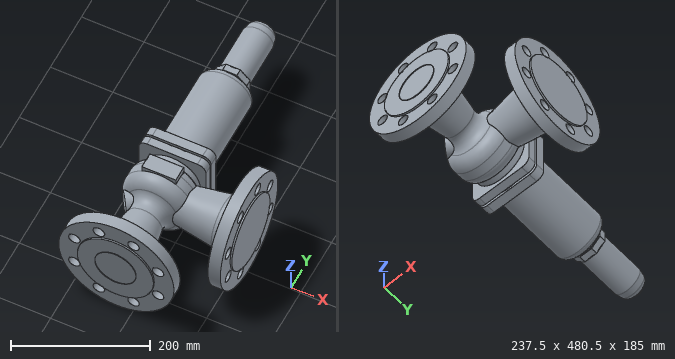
import cadquery as cq
import math


total_length = 480.5
total_width = 237.5

flange_diameter = 185.0
flange_thickness = 20.0
raised_face_diameter = 122.0
raised_face_height = 3.0
bolt_circle_diameter = 145.0
bolt_hole_diameter = 18.5
bolt_count = 8

flange_face = total_width - flange_diameter / 2
rim_front = flange_face - raised_face_height
rim_back = rim_front - flange_thickness
top_end = total_length - flange_face

inlet_cone_start = 53.5
inlet_cone_end = 103.0
inlet_start_radius = 29.5
inlet_end_radius = 38.5
outlet_cone_start = 0.0
outlet_start_radius = 25.5
outlet_cone_end = 102.0
outlet_end_radius = 41.5
flare_radius = 47.5

recess_diameter = 66.0
recess_depth = 1.0

body_radius = 56.2
barrel_top = 10.5
barrel_bottom = -5.5
shoulder_top = 28.0
collar_radius = 44.5
bowl_bottom = -27.5
bowl_bottom_radius = 41.0

plate_size = 107.5
plate_corner_radius = 13.5
lower_plate_bottom = 38.0
lower_plate_top = 51.5
upper_plate_bottom = 55.0
upper_plate_top = 70.0
gasket_radius = 49.0

bonnet_radius = 43.5
bonnet_top = 216.5
bonnet_rounding = 10.5
cap_radius = 25.5
nut_bottom = 222.5
nut_top = 233.5
nut_across_flats = 54.5
nut_sides = 8
cap_taper_start = 311.5
cap_taper_end = 323.0
cap_taper_radius = 23.0
cap_top = 332.0
crown_flat_radius = 12.0
stub_radius = 9.0

boss_radius = 19.5
boss_tilt = 34.5
boss_face_x = -40.0
boss_face_y = -36.0
boss_length = 38.5

pad_length = 54.5
pad_width = 25.5
pad_center_y = 7.5
pad_top = 59.5


def revolve_about_y(profile):
    """Turn a closed (radius, y) profile around the Y axis."""
    return profile.close().revolve(360, (0, 0), (0, 1))


def disc(radius, bottom, top):
    """Cylinder on the Y axis between two heights."""
    return cq.Workplane("XZ", origin=(0, top, 0)).circle(radius).extrude(top - bottom)


def flanged_neck(cone_start, start_radius, cone_end, end_radius):
    """Conical neck with a drilled flange, pointing along -Y."""
    neck = revolve_about_y(
        cq.Workplane("XY")
        .moveTo(0, -cone_start)
        .lineTo(start_radius, -cone_start)
        .lineTo(end_radius, -cone_end)
        .tangentArcPoint((flare_radius, -rim_back), relative=False)
        .lineTo(0, -rim_back)
    )
    rim = disc(flange_diameter / 2, -rim_front, -rim_back)
    raised_face = disc(raised_face_diameter / 2, -flange_face, -rim_front)
    bolt_holes = (
        cq.Workplane("XZ", origin=(0, -rim_back, 0))
        .polarArray(bolt_circle_diameter / 2, 180 / bolt_count, 360, bolt_count)
        .circle(bolt_hole_diameter / 2)
        .extrude(flange_thickness)
    )
    return neck.union(rim.cut(bolt_holes)).union(raised_face)


def upper_body():
    """Barrel with a rounded shoulder and a collar under the clamp plates."""
    return revolve_about_y(
        cq.Workplane("XY")
        .moveTo(0, barrel_bottom)
        .lineTo(body_radius, barrel_bottom)
        .lineTo(body_radius, barrel_top)
        .tangentArcPoint((collar_radius, shoulder_top), relative=False)
        .lineTo(collar_radius, lower_plate_bottom)
        .lineTo(0, lower_plate_bottom)
    )


def lower_body():
    """Bowl that curves in from the barrel and blends into the inlet neck."""
    return revolve_about_y(
        cq.Workplane("XY")
        .moveTo(0, barrel_top)
        .lineTo(body_radius, barrel_top)
        .lineTo(body_radius, barrel_bottom)
        .tangentArcPoint((bowl_bottom_radius, bowl_bottom), relative=False)
        .tangentArcPoint((inlet_start_radius, -inlet_cone_start), relative=False)
        .lineTo(0, -inlet_cone_start)
    )


def square_plate(bottom, top):
    """Square plate with rounded corners, centred on the Y axis."""
    return (
        cq.Workplane("XZ", origin=(0, top, 0))
        .rect(plate_size, plate_size)
        .extrude(top - bottom)
        .edges("|Y")
        .fillet(plate_corner_radius)
    )


def bonnet():
    """Spring housing with a rounded top edge."""
    housing = disc(bonnet_radius, upper_plate_top, bonnet_top)
    return housing.faces(">Y").edges().fillet(bonnet_rounding)


def cap():
    """Cap with a slightly tapered, rounded crown and a small end stub."""
    return revolve_about_y(
        cq.Workplane("XY")
        .moveTo(0, bonnet_top)
        .lineTo(cap_radius, bonnet_top)
        .lineTo(cap_radius, cap_taper_start)
        .lineTo(cap_taper_radius, cap_taper_end)
        .tangentArcPoint((crown_flat_radius, cap_top), relative=False)
        .lineTo(stub_radius, cap_top)
        .lineTo(stub_radius, top_end)
        .lineTo(0, top_end)
    )


def lock_nut():
    """Octagonal nut with flats facing X and Z."""
    across_corners = nut_across_flats / math.cos(math.pi / nut_sides)
    return (
        cq.Workplane("XZ", origin=(0, nut_top, 0))
        .polygon(nut_sides, across_corners)
        .extrude(nut_top - nut_bottom)
        .rotate((0, 0, 0), (0, 1, 0), 180 / nut_sides)
    )


def drain_boss():
    """Round boss that leans toward the inlet and ends in a flat face."""
    tilt = math.radians(boss_tilt)
    inward = cq.Vector(math.cos(tilt), math.sin(tilt), 0)
    face_center = cq.Vector(boss_face_x, boss_face_y, 0)
    return cq.Workplane(cq.Solid.makeCylinder(boss_radius, boss_length, face_center, inward))


def name_pad():
    """Flat-topped pad that rises from the axis through the barrel wall."""
    base = cq.Workplane("XY", origin=(0, pad_center_y, 0)).rect(pad_length, pad_width)
    return base.extrude(pad_top)


inlet = flanged_neck(inlet_cone_start, inlet_start_radius, inlet_cone_end, inlet_end_radius)
inlet = inlet.cut(disc(recess_diameter / 2, -flange_face, recess_depth - flange_face))

outlet = flanged_neck(outlet_cone_start, outlet_start_radius, outlet_cone_end, outlet_end_radius)
outlet = outlet.rotate((0, 0, 0), (0, 0, 1), 90)

result = (
    upper_body()
    .union(lower_body())
    .union(inlet)
    .union(outlet)
    .union(drain_boss())
    .union(name_pad())
    .union(square_plate(lower_plate_bottom, lower_plate_top))
    .union(disc(gasket_radius, lower_plate_top, upper_plate_bottom))
    .union(square_plate(upper_plate_bottom, upper_plate_top))
    .union(bonnet())
    .union(cap())
    .union(lock_nut())
)